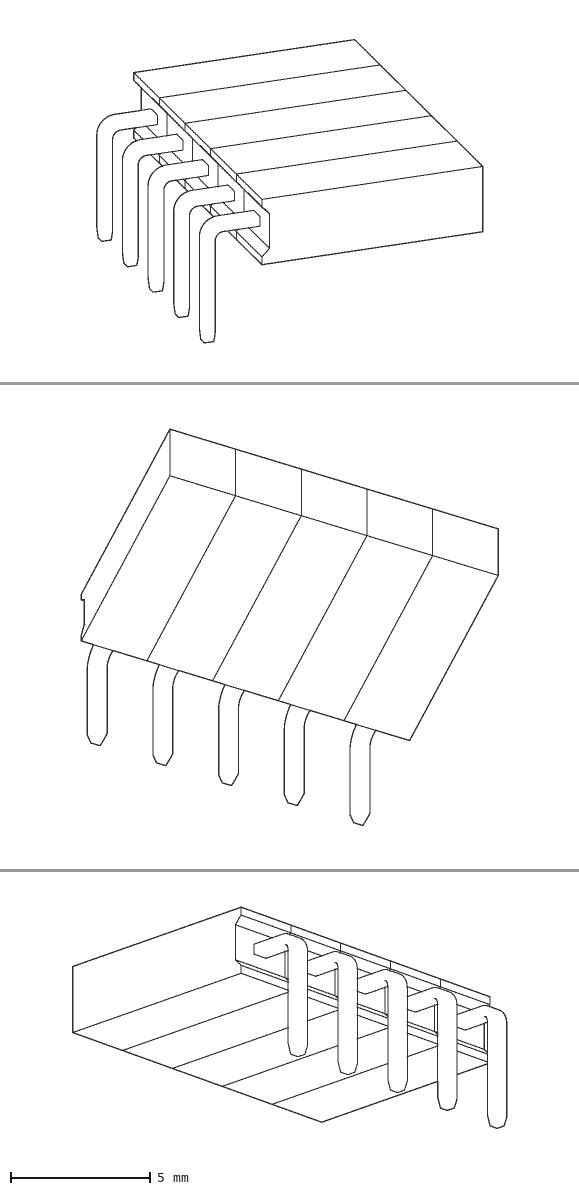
import cadquery as cq
import math

module_count = 5
pitch = 2.54
module_height = 2.54
module_length = 8.5

recess_depth = 0.29
lip_height = 0.3
bevel_height = 0.29

pin_width = 0.65
pin_thickness = 0.4
pin_reach = 1.8
pin_drop = 3.2
inner_bend_radius = 0.3
tip_length = 0.38
tip_width = 0.37
edge_radius = 0.045

outer_bend_radius = inner_bend_radius + pin_thickness

pin_top = (module_height + pin_thickness) / 2
pin_underside = pin_top - pin_thickness
pin_front = -pin_reach
pin_back = pin_front + pin_thickness
tip_start = tip_length - pin_drop


def make_module_block():
    """Block with a bevelled recess between two lips, centred on X = 0."""
    lower_bevel_end = lip_height + bevel_height
    upper_bevel_end = module_height - lower_bevel_end
    return (
        cq.Workplane("YZ")
        .moveTo(0, 0)
        .lineTo(0, lip_height)
        .lineTo(recess_depth, lower_bevel_end)
        .lineTo(recess_depth, upper_bevel_end)
        .lineTo(0, module_height - lip_height)
        .lineTo(0, module_height)
        .lineTo(module_length, module_height)
        .lineTo(module_length, 0)
        .close()
        .extrude(pitch / 2, both=True)
    )


def make_bent_strip():
    """L-shaped strip that leaves the recess, bends down and ends square."""
    bend_y = pin_front + outer_bend_radius
    bend_z = pin_top - outer_bend_radius
    diagonal = math.sqrt(0.5)
    outer_offset = outer_bend_radius * diagonal
    inner_offset = inner_bend_radius * diagonal
    return (
        cq.Workplane("YZ")
        .moveTo(recess_depth, pin_top)
        .lineTo(bend_y, pin_top)
        .threePointArc((bend_y - outer_offset, bend_z + outer_offset), (pin_front, bend_z))
        .lineTo(pin_front, -pin_drop)
        .lineTo(pin_back, -pin_drop)
        .lineTo(pin_back, bend_z)
        .threePointArc((bend_y - inner_offset, bend_z + inner_offset), (bend_y, pin_underside))
        .lineTo(recess_depth, pin_underside)
        .close()
        .extrude(pin_width / 2, both=True)
    )


def make_front_outline():
    """Prism whose X-Z outline narrows to the tip of the pin."""
    return (
        cq.Workplane("XZ")
        .moveTo(-pin_width / 2, pin_top)
        .lineTo(-pin_width / 2, tip_start)
        .lineTo(-tip_width / 2, -pin_drop)
        .lineTo(tip_width / 2, -pin_drop)
        .lineTo(pin_width / 2, tip_start)
        .lineTo(pin_width / 2, pin_top)
        .close()
        .extrude(pin_reach + recess_depth, both=True)
    )


def make_pin():
    """Bent pin with a tapered tip and softened edges."""
    pin = make_bent_strip().intersect(make_front_outline())
    side_edges = pin.faces("<X or >X").edges("not(>Y)")
    box_margin = 0.13
    tip_box = cq.selectors.BoxSelector(
        (-pin_width, pin_front - box_margin, -pin_drop - box_margin),
        (pin_width, pin_back + box_margin, tip_start),
    )
    tip_edges = pin.edges(tip_box)
    return side_edges.add(tip_edges).fillet(edge_radius)


def make_contact_module():
    """One module: its block and its pin as a single solid."""
    return make_module_block().union(make_pin()).solids()


contact_module = make_contact_module()
modules = []
for index in range(module_count):
    offset = (index - (module_count - 1) / 2) * pitch
    modules.append(contact_module.translate((offset, 0, 0)).val())

result = cq.Compound.makeCompound(modules)